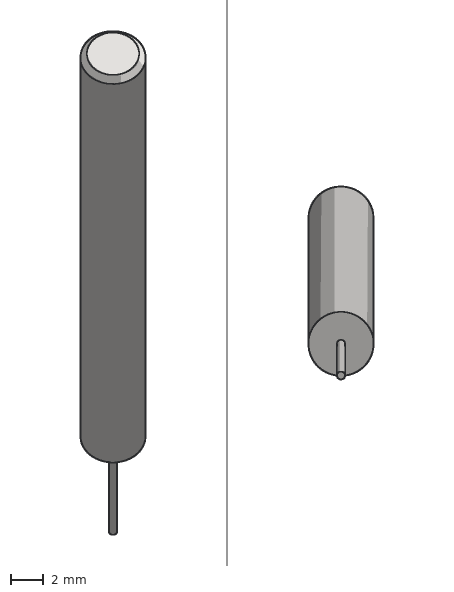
import cadquery as cq

body_diameter = 4.0
body_length = 40.0
body_chamfer = 0.4
wire_diameter = 0.5
wire_length = 10.0


def make_body():
    """Cylindrical body standing on Z = 0, chamfered around its top edge."""
    body = cq.Workplane("XY").circle(body_diameter / 2).extrude(body_length)
    return body.faces(">Z").edges().chamfer(body_chamfer)


def make_wire():
    """Thin straight wire hanging from the centre of the body's lower face."""
    return cq.Workplane("XY").circle(wire_diameter / 2).extrude(-wire_length)


result = make_body().union(make_wire())